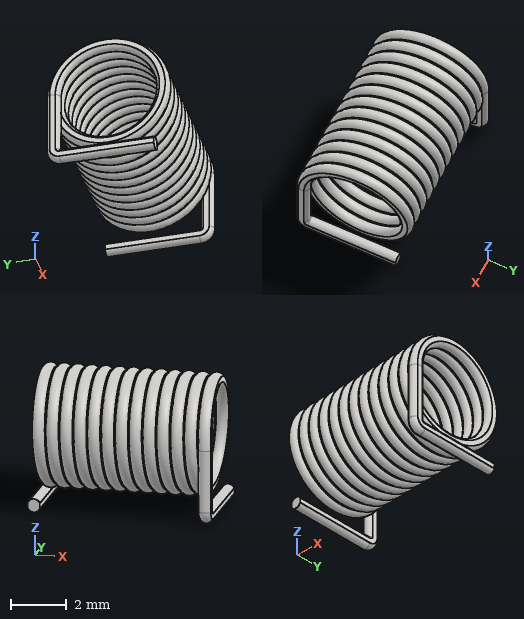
import cadquery as cq
import math

length = 6.8
coil_outer_diameter = 4.5
wire_diameter = 0.5
wire_width = 0.455
half_turns = 25
foot_drop = 2.8
foot_reach = 1.755
bend_radius = 0.26

wire_radius = wire_diameter / 2
coil_radius = coil_outer_diameter / 2 - wire_radius
coil_length = length - wire_width
turns = half_turns / 2
pitch = coil_length / turns
foot_z = wire_radius - foot_drop


def wire_section(plane):
    """Round wire outline with a flat at each end of its local y direction."""
    flat_y = wire_width / 2
    flat_x = math.sqrt(wire_radius**2 - flat_y**2)
    return (
        plane.moveTo(-flat_x, -flat_y)
        .lineTo(flat_x, -flat_y)
        .threePointArc((wire_radius, 0), (flat_x, flat_y))
        .lineTo(-flat_x, flat_y)
        .threePointArc((-wire_radius, 0), (-flat_x, -flat_y))
        .close()
    )


def make_coil():
    """Helical wire from (+Y, -X end) over the top to (-Y, +X end)."""
    path = cq.Wire.makeHelix(pitch, coil_length, coil_radius)
    section = wire_section(cq.Workplane("XZ").center(coil_radius, 0))
    coil = section.sweep(cq.Workplane(obj=path), isFrenet=True)
    coil = coil.rotate((0, 0, 0), (0, 1, 0), 90)
    coil = coil.rotate((0, 0, 0), (1, 0, 0), 90)
    return coil.translate((-coil_length / 2, 0, 0))


def make_leg():
    """Leg at the -X end: down from the +Y side, then across as a foot."""
    path = (
        cq.Workplane("YZ", origin=(-coil_length / 2, 0, 0))
        .moveTo(coil_radius, 0)
        .lineTo(coil_radius, foot_z + bend_radius)
        .radiusArc((coil_radius - bend_radius, foot_z), bend_radius)
        .lineTo(-foot_reach, foot_z)
    )
    section = wire_section(
        cq.Workplane(cq.Plane((-coil_length / 2, coil_radius, 0), xDir=(0, 1, 0), normal=(0, 0, 1)))
    )
    return section.sweep(path)


coil = make_coil()
start_leg = make_leg()
end_leg = start_leg.rotate((0, 0, 0), (0, 0, 1), 180)
result = coil.union(start_leg).union(end_leg)